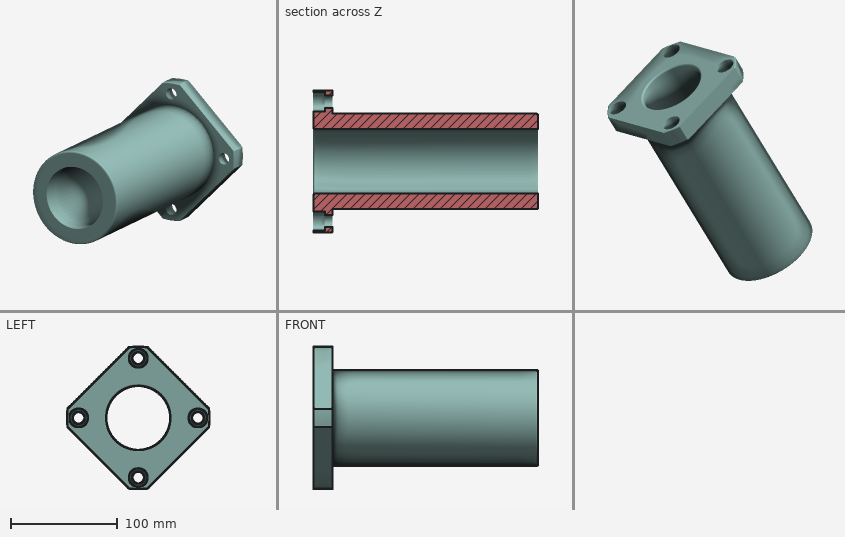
import cadquery as cq
import math

total_length = 211.0
flange_thickness = 18.0
flange_side = 106.0
flange_tilt = 45.0
flange_turned_diameter = 134.0
flange_rim_fillet = 1.1

tube_diameter = 90.0
tube_end_fillet = 1.8

bore_diameter = 60.0
bore_mouth_fillet = 1.85

screw_count = 4
screw_circle_diameter = 112.0
screw_diameter = 11.0
head_diameter = 17.5
head_depth = 10.8


def along_x(diameter, length):
    """Cylinder about the X axis, starting at X = 0."""
    return cq.Workplane("YZ").circle(diameter / 2).extrude(length)


def make_flange():
    """Square plate whose corners are turned to a disc with rounded rims."""
    square = (
        cq.Workplane("YZ")
        .rect(flange_side, flange_side)
        .extrude(flange_thickness)
        .rotate((0, 0, 0), (1, 0, 0), flange_tilt)
    )
    turned_disc = (
        along_x(flange_turned_diameter, flange_thickness)
        .faces("<X or >X")
        .edges()
        .fillet(flange_rim_fillet)
    )
    return square.intersect(turned_disc)


def make_tube():
    """Solid tube blank with its far end rounded."""
    return (
        along_x(tube_diameter, total_length)
        .faces(">X")
        .edges()
        .fillet(tube_end_fillet)
    )


def make_bored_body():
    """Flange and tube with the through bore, whose mouth at X = 0 is rounded."""
    body = make_flange().union(make_tube()).cut(along_x(bore_diameter, total_length))
    return body.faces("<X").edges(cq.selectors.RadiusNthSelector(0)).fillet(bore_mouth_fillet)


def make_screw_hole(angle):
    """Counterbored hole, with the head recess open to the X = 0 face."""
    hole = along_x(screw_diameter, flange_thickness).union(along_x(head_diameter, head_depth))
    radius = screw_circle_diameter / 2
    return hole.translate((0, radius * math.cos(angle), radius * math.sin(angle)))


result = make_bored_body()
for index in range(screw_count):
    result = result.cut(make_screw_hole(index * 2 * math.pi / screw_count))